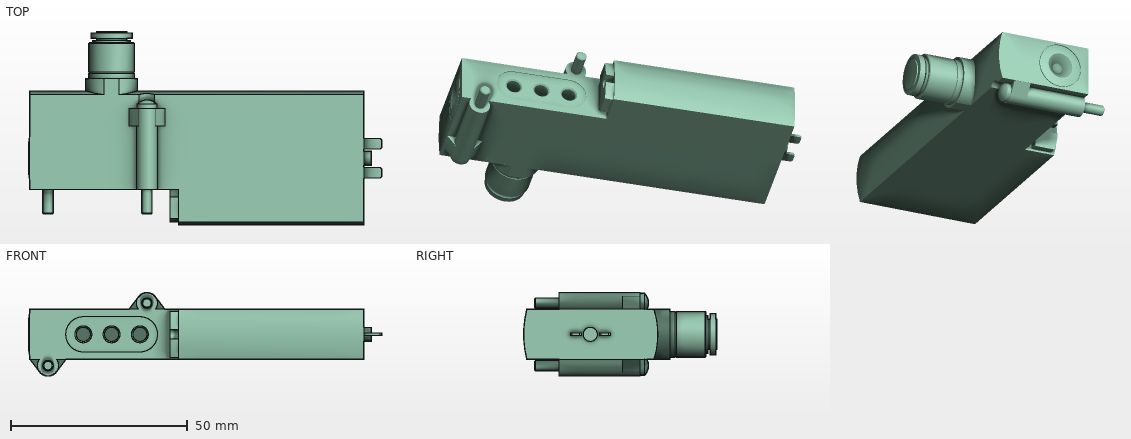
import cadquery as cq
import math


thickness = 14.2
half_thickness = thickness / 2
body_length = 94.7
back_edge_y = 26.9
back_crown_y = 28.0
housing_start_x = 42.1
housing_edge_y = -9.1
housing_crown_y = -10.0
end_axis_y = 8.9

plate_thickness = 2.4
plate_half_width = 6.5
plate_neck_half_width = 4.4
plate_shoulder_y = -2.1
plate_edge_y = -8.1
plate_crown_y = -9.2
plate_slot_diameter = 2.7
plate_slot_end_y = -5.4

port_center_x = 23.2
port_spacing = 8.0
port_diameter = 4.0
port_chamfer = 0.4
port_depth = 6.0
seal_width = 10.0
seal_length = port_spacing * 2 + seal_width
seal_depth = 0.2

button_diameter = 12.5
button_gap_diameter = 13.0
button_gap_depth = 0.3
button_height = 0.3
button_mouth_diameter = 7.4
button_floor_diameter = 3.0

screw_x_top = 33.2
screw_x_bottom = 5.2
boss_diameter = 6.0
boss_radius = boss_diameter / 2
overall_height = 23.7
screw_z = overall_height / 2 - boss_radius
boss_length = 23.0
ear_half_width = 5.1
ear_length = 5.0
head_diameter = 5.6
head_radius = head_diameter / 2
head_rim_height = 1.2
head_height = 2.4
shank_diameter = 3.0
shank_length = 6.9
shank_chamfer = 0.3

fitting_x = 23.2
fitting_seat_y = 20.0
base_diameter = 14.8
fitting_sleeve_diameter = 13.0
fitting_relief_diameter = 12.5
fitting_chamfer = (fitting_sleeve_diameter - fitting_relief_diameter) / 2
fitting_step_diameter = 10.8
fitting_neck_diameter = 8.6
fitting_ring_diameter = 11.8
base_end_y = 31.4
relief_start_y = 32.9
relief_end_y = 33.3
sleeve_end_y = 41.6
step_end_y = 42.2
ring_start_y = 42.8
ring_end_y = 44.4
fitting_end_y = 44.7

blade_width = 3.1
blade_thickness = 0.8
blade_length = 5.1
blade_offset = 4.1
blade_chamfer = 0.5
pin_diameter = 4.0
pin_length = 2.1

overlap = 1.0


def x_profile(start_x):
    """Sketch plane whose local axes are Y and Z, with extrusion along +X."""
    return cq.Workplane("YZ", origin=(start_x, 0, 0))


def y_cylinder(x, z, start_y, end_y, diameter):
    """Cylinder along Y between two Y positions."""
    plane = cq.Workplane("XZ", origin=(x, end_y, z))
    return plane.circle(diameter / 2).extrude(end_y - start_y)


def make_body():
    """Valve body with a crowned back, joined to the housing crowned on both sides."""
    body = (
        x_profile(0)
        .moveTo(0, -half_thickness)
        .lineTo(back_edge_y, -half_thickness)
        .threePointArc((back_crown_y, 0), (back_edge_y, half_thickness))
        .lineTo(0, half_thickness)
        .close()
        .extrude(body_length)
    )
    housing = (
        x_profile(housing_start_x)
        .moveTo(overlap, -half_thickness)
        .lineTo(housing_edge_y, -half_thickness)
        .threePointArc((housing_crown_y, 0), (housing_edge_y, half_thickness))
        .lineTo(overlap, half_thickness)
        .close()
        .extrude(body_length - housing_start_x)
    )
    return body.union(housing)


def make_clip_plate():
    """T-shaped plate in the housing step, with a round-ended slot open to the front."""
    start_x = housing_start_x - plate_thickness
    plate = (
        x_profile(start_x)
        .moveTo(overlap, -plate_neck_half_width)
        .lineTo(plate_shoulder_y, -plate_neck_half_width)
        .lineTo(plate_shoulder_y, -plate_half_width)
        .lineTo(plate_edge_y, -plate_half_width)
        .threePointArc((plate_crown_y, 0), (plate_edge_y, plate_half_width))
        .lineTo(plate_shoulder_y, plate_half_width)
        .lineTo(plate_shoulder_y, plate_neck_half_width)
        .lineTo(overlap, plate_neck_half_width)
        .close()
        .extrude(plate_thickness)
    )
    slot_length = 2 * (plate_slot_end_y - plate_crown_y)
    slot = (
        x_profile(start_x)
        .center(plate_slot_end_y - slot_length / 2, 0)
        .slot2D(slot_length, plate_slot_diameter)
        .extrude(plate_thickness)
    )
    return plate.cut(slot)


def make_port_cutter():
    """Shallow seal recess with three countersunk port holes in its floor."""
    cutter = (
        cq.Workplane("XZ", origin=(port_center_x, seal_depth, 0))
        .slot2D(seal_length, seal_width)
        .extrude(seal_depth)
    )
    port_radius = port_diameter / 2
    for step in (-1, 0, 1):
        port = (
            cq.Workplane("XY", origin=(port_center_x + step * port_spacing, seal_depth, 0))
            .lineTo(port_radius + port_chamfer, 0)
            .lineTo(port_radius, port_chamfer)
            .lineTo(port_radius, port_depth)
            .lineTo(0, port_depth)
            .close()
            .revolve(360, (0, 0, 0), (0, 1, 0))
        )
        cutter = cutter.union(port)
    return cutter


def end_profile():
    """Sketch plane on the button axis, with local axes X and Y."""
    return cq.Workplane("XY", origin=(0, end_axis_y, 0))


def add_button(part):
    """Domed round button, set in a narrow gap, with a conical recess in its middle."""
    outer_radius = button_diameter / 2
    mouth_radius = button_mouth_diameter / 2
    floor_radius = button_floor_diameter / 2
    dome_width = outer_radius - mouth_radius
    arc_radius = (dome_width**2 + button_height**2) / (2 * button_height)
    mid_radius = mouth_radius + dome_width / 2
    mid_x = arc_radius - button_height - math.sqrt(arc_radius**2 - (dome_width / 2) ** 2)
    gap = (
        x_profile(0)
        .center(end_axis_y, 0)
        .circle(button_gap_diameter / 2)
        .circle(outer_radius)
        .extrude(button_gap_depth)
    )
    dome = (
        end_profile()
        .moveTo(overlap, 0)
        .lineTo(overlap, outer_radius)
        .lineTo(0, outer_radius)
        .threePointArc((mid_x, mid_radius), (-button_height, mouth_radius))
        .lineTo(-button_height, 0)
        .close()
        .revolve(360, (0, 0, 0), (1, 0, 0))
    )
    recess_depth = mouth_radius - floor_radius
    recess = (
        end_profile()
        .moveTo(-button_height, 0)
        .lineTo(-button_height, mouth_radius)
        .lineTo(-button_height + recess_depth, floor_radius)
        .lineTo(-button_height + recess_depth, 0)
        .close()
        .revolve(360, (0, 0, 0), (1, 0, 0))
    )
    return part.cut(gap).union(dome).cut(recess)


def add_screw_top(part, x):
    """Boss, ears, head clearance and screw on the top face at the given X."""
    clearance = y_cylinder(x, screw_z, boss_length, back_crown_y, head_diameter)
    boss = y_cylinder(x, screw_z, 0, boss_length, boss_diameter)

    foot_z = half_thickness - screw_z
    foot_distance = math.hypot(ear_half_width, foot_z)
    tangent_angle = math.atan2(foot_z, ear_half_width) + math.acos(boss_radius / foot_distance)
    tangent_x = boss_radius * math.cos(tangent_angle)
    tangent_z = boss_radius * math.sin(tangent_angle)
    ears = (
        cq.Workplane("XZ", origin=(x, boss_length, screw_z))
        .moveTo(-ear_half_width, foot_z)
        .lineTo(-tangent_x, tangent_z)
        .lineTo(tangent_x, tangent_z)
        .lineTo(ear_half_width, foot_z)
        .close()
        .extrude(ear_length)
    )

    shank_radius = shank_diameter / 2
    rim_y = boss_length + head_rim_height
    tip_y = boss_length + head_height
    dome_height = head_height - head_rim_height
    dome_radius = (head_radius**2 + dome_height**2) / (2 * dome_height)
    mid_radius = head_radius / 2
    mid_y = tip_y - dome_radius + math.sqrt(dome_radius**2 - mid_radius**2)
    screw = (
        cq.Workplane("XY", origin=(x, 0, screw_z))
        .moveTo(0, -shank_length)
        .lineTo(shank_radius - shank_chamfer, -shank_length)
        .lineTo(shank_radius, -shank_length + shank_chamfer)
        .lineTo(shank_radius, boss_length - overlap)
        .lineTo(head_radius, boss_length - overlap)
        .lineTo(head_radius, rim_y)
        .threePointArc((mid_radius, mid_y), (0, tip_y))
        .close()
        .revolve(360, (0, 0, 0), (0, 1, 0))
    )
    return part.cut(clearance).union(boss).union(ears).union(screw)


def add_screws(part):
    """One screw on the top face and one on the bottom face."""
    part = add_screw_top(part, screw_x_top)
    flipped = add_screw_top(part.mirror("XY"), screw_x_bottom)
    return flipped.mirror("XY")


def make_fitting():
    """Turned push-in fitting whose base is flattened flush with the body faces."""
    flats = cq.Workplane("XY").box(body_length, 2 * fitting_end_y, thickness)
    base = y_cylinder(fitting_x, 0, fitting_seat_y, base_end_y, base_diameter)
    fitting = base.intersect(flats)
    sleeve = y_cylinder(fitting_x, 0, relief_end_y, sleeve_end_y, fitting_sleeve_diameter)
    fitting = fitting.union(sleeve.faces(">Y").chamfer(fitting_chamfer))
    sections = (
        (base_end_y, relief_start_y, fitting_sleeve_diameter),
        (relief_start_y, relief_end_y, fitting_relief_diameter),
        (sleeve_end_y, step_end_y, fitting_step_diameter),
        (step_end_y, fitting_end_y, fitting_neck_diameter),
        (ring_start_y, ring_end_y, fitting_ring_diameter),
    )
    for start_y, end_y, diameter in sections:
        fitting = fitting.union(y_cylinder(fitting_x, 0, start_y, end_y, diameter))
    return fitting


def make_contacts():
    """Round pin between two flat blades with chamfered tips."""
    contacts = (
        x_profile(body_length - overlap)
        .center(end_axis_y, 0)
        .circle(pin_diameter / 2)
        .extrude(overlap + pin_length)
    )
    for side in (-1, 1):
        blade = (
            x_profile(body_length - overlap)
            .center(end_axis_y + side * blade_offset, 0)
            .rect(blade_width, blade_thickness)
            .extrude(overlap + blade_length)
            .edges("|Z and >X")
            .chamfer(blade_chamfer)
        )
        contacts = contacts.union(blade)
    return contacts


result = make_body().union(make_clip_plate()).cut(make_port_cutter())
result = add_screws(add_button(result))
result = result.union(make_fitting()).union(make_contacts())